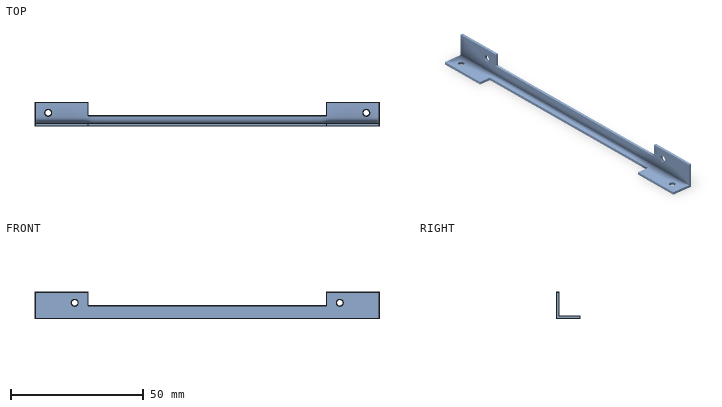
import cadquery as cq

length = 130.0
depth = 9.0
height = 10.0
thickness = 1.0

tab_length = 20.0
narrow_depth = 4.0
narrow_height = 5.0

hole_diameter = 2.5
wall_hole_inset = 15.0
wall_hole_height = 6.0
floor_hole_inset = 5.0
floor_hole_depth = 5.1


def leg_outline(plane, full_width, narrow_width):
    """U-shaped leg outline, centred along X, with its long edge on the corner."""
    half_length = length / 2
    half_gap = half_length - tab_length
    return cq.Workplane(plane).polyline([
        (-half_length, 0),
        (half_length, 0),
        (half_length, full_width),
        (half_gap, full_width),
        (half_gap, narrow_width),
        (-half_gap, narrow_width),
        (-half_gap, full_width),
        (-half_length, full_width),
    ]).close()


def hole_pair(plane, end_inset, offset):
    """Two cutters crossing one leg, the same distance from each end."""
    hole_x = length / 2 - end_inset
    return (
        cq.Workplane(plane)
        .pushPoints([(-hole_x, offset), (hole_x, offset)])
        .circle(hole_diameter / 2)
        .extrude(thickness, both=True)
    )


wall = leg_outline("XZ", height, narrow_height).extrude(-thickness)
wall = wall.cut(hole_pair("XZ", wall_hole_inset, wall_hole_height))

floor = leg_outline("XY", depth, narrow_depth).extrude(thickness)
floor = floor.cut(hole_pair("XY", floor_hole_inset, floor_hole_depth))

result = wall.union(floor)